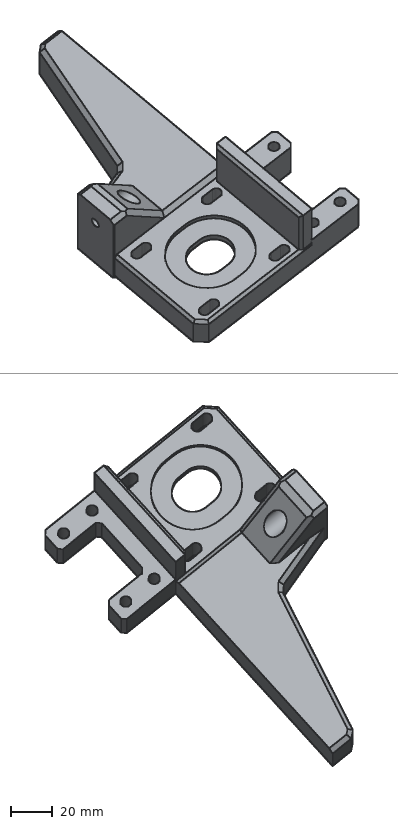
import cadquery as cq

length = 176.1
depth = 107.5
height = 45.0
body_height = 20.0
edge_chamfer = 2.5
plate_chamfer = 1.5
overlap = 1.8

plate_width = 60.0
plate_left = length - plate_width
plate_mid_x = plate_left + plate_width / 2
plate_top = body_height - edge_chamfer
plate_front = 0.5
plate_corner = 5.3
mount_y = 35.5
mount_pitch = 47.0
screw_diameter = 5.5
slot_travel = 6.0
shaft_travel = 5.0
slot_angle = 90
shaft_opening_width = 20.0
recess_width = 40.2
recess_depth = 2.5
lip_thickness = 3.5
pocket_width = 35.4
pocket_length = 53.2

wall_back = 74.5
wall_thickness = 7.4

notch_width = 34.0
notch_floor = 82.8
fork_chamfer = 2.0
fork_hole_pitch_x = 46.0
fork_hole_pitch_y = 18.0
fork_hole_inset = 7.4

lug_left = 90.3
arm_front = 2.6
arm_points = [
    (0, wall_back),
    (0, 62.7),
    (2.8, 59.2),
    (78.0, 39.0),
    (81.0, 36.1),
    (lug_left, arm_front),
    (plate_left, arm_front),
    (plate_left, wall_back),
]

lug_top_depth = 9.7
lug_front_chamfer = 0.5
lug_hole_z = 32.4
lug_hole_diameter = 5.0
lug_bore_diameter = 11.0
lug_bore_floor = 9.7


def box(x0, x1, y0, y1, z0, z1):
    return cq.Workplane("XY").box(x1 - x0, y1 - y0, z1 - z0, centered=False).translate((x0, y0, z0))


def make_arm():
    arm = cq.Workplane("XY").polyline(arm_points).close().extrude(body_height)
    rim = arm.faces(">Z").edges("not >Y")
    return rim.chamfer(edge_chamfer)


def make_lug():
    """Upright lug; its back slopes down to the level of the motor plate."""
    slope_end = lug_top_depth + height - plate_top
    profile = [
        (0, 0),
        (0, height),
        (lug_top_depth, height),
        (slope_end, plate_top),
        (slope_end, 0),
    ]
    lug = cq.Workplane("YZ", origin=(lug_left, 0, 0)).polyline(profile).close()
    lug = lug.extrude(plate_left - lug_left)
    lug = lug.edges("|Z and <Y").chamfer(lug_front_chamfer)

    upper_edges = lug.faces("<X or >X").edges("not(|Z or <Z)")
    lug = upper_edges.chamfer(edge_chamfer)
    knee = lug.faces(">Z").edges(">Y")
    return knee.chamfer(edge_chamfer)


def make_plate():
    plate = box(plate_left, length, plate_front, wall_back, 0, plate_top)
    plate = plate.edges("|Z and >X and <Y").chamfer(plate_corner)
    return plate.faces(">Z").edges("not(>Y or <X)").chamfer(plate_chamfer)


def make_wall():
    wall = box(plate_left, length, wall_back - wall_thickness, wall_back, plate_top, height)
    return wall.faces("<Y").edges("not <Z").chamfer(plate_chamfer)


def make_fork():
    fork = box(plate_left, length, wall_back, depth, 0, body_height)
    notch = box(
        plate_mid_x - notch_width / 2, plate_mid_x + notch_width / 2,
        notch_floor, depth + overlap, 0, body_height,
    )
    prongs = cq.selectors.BoxSelector(
        (plate_left - overlap, notch_floor - overlap, 0),
        (length + overlap, depth + overlap, body_height),
    )
    return fork.cut(notch).edges("|Z").edges(prongs).chamfer(fork_chamfer)


def bevel_underside(body):
    """Bevel the lower front, corner and right edges of the plate and fork."""
    front = cq.selectors.BoxSelector(
        (plate_left + overlap, plate_front - overlap, -overlap),
        (length + overlap, plate_corner + overlap, overlap),
    )
    right = cq.selectors.BoxSelector(
        (length - overlap / 2, 0, -overlap), (length + overlap, depth - fork_chamfer, overlap),
    )
    return body.edges(front + right).chamfer(plate_chamfer)


def motor_openings():
    """Slots for the four screws and the shaft, the shallow boss recess and the underside pocket."""
    through = plate_top + 2 * overlap
    centre = cq.Workplane("XY", origin=(plate_mid_x, mount_y, -overlap))
    screws = centre.rect(mount_pitch, mount_pitch, forConstruction=True).vertices()
    screws = screws.slot2D(screw_diameter + slot_travel, screw_diameter, slot_angle).extrude(through)
    shaft = centre.slot2D(shaft_opening_width + shaft_travel, shaft_opening_width, slot_angle).extrude(through)
    recess_plane = centre.workplane(offset=overlap + plate_top - recess_depth)
    recess = recess_plane.slot2D(recess_width + shaft_travel, recess_width, slot_angle)
    recess = recess.extrude(recess_depth + overlap)
    pocket_depth = plate_top - recess_depth - lip_thickness
    pocket = centre.rect(pocket_width, pocket_length).extrude(pocket_depth + overlap)
    return screws.union(shaft).union(recess).union(pocket)


def fork_holes():
    rows_mid_y = depth - fork_hole_inset - fork_hole_pitch_y / 2
    holes = cq.Workplane("XY", origin=(plate_mid_x, rows_mid_y, -overlap))
    holes = holes.rect(fork_hole_pitch_x, fork_hole_pitch_y, forConstruction=True).vertices()
    return holes.circle(screw_diameter / 2).extrude(body_height + 2 * overlap)


def lug_hole():
    """Through hole along Y with a larger bore entering from the sloped back."""
    lug_mid_x = (lug_left + plate_left) / 2
    back = lug_top_depth + height - lug_hole_z + lug_bore_diameter
    axis = cq.Workplane("XZ", origin=(lug_mid_x, back, lug_hole_z))
    hole = axis.circle(lug_hole_diameter / 2).extrude(back + overlap)
    bore = axis.circle(lug_bore_diameter / 2).extrude(back - lug_bore_floor)
    return hole.union(bore)


body = make_plate().union(make_wall()).union(make_fork())
body = bevel_underside(body)
body = body.union(make_arm()).union(make_lug())
result = body.cut(motor_openings()).cut(fork_holes()).cut(lug_hole())